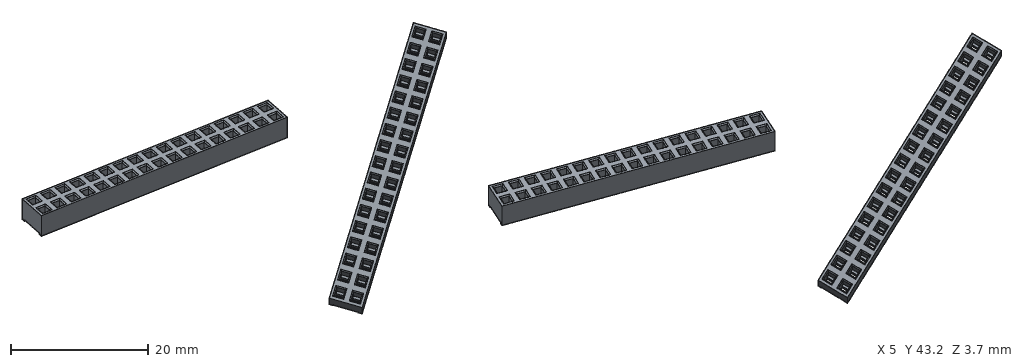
import cadquery as cq

length = 43.2
width = 5.0
height = 3.7

positions_per_row = 17
rows = 2
pitch = length / positions_per_row

mouth_size = 1.7
cavity_size = 1.3
bevel_depth = (mouth_size - cavity_size) / 2

floor_thickness = 1.1
slot_width = 0.5

rail_width = 0.6
rail_height = 0.2


def make_body():
    """Solid block with a shallow full-length channel between the rails."""
    block = cq.Workplane("XY").box(width, length, height, centered=(True, True, False))
    channel = cq.Workplane("XY").box(
        width - 2 * rail_width, length, rail_height, centered=(True, True, False)
    )
    return block.cut(channel)


def make_cavity():
    """Void of one contact position, centred on the Z axis."""
    floor_level = rail_height + floor_thickness
    shaft = (
        cq.Workplane("XY", origin=(0, 0, floor_level))
        .rect(cavity_size, cavity_size)
        .extrude(height - floor_level)
    )
    mouth = (
        cq.Workplane("XY", origin=(0, 0, height - bevel_depth))
        .rect(cavity_size, cavity_size)
        .workplane(offset=bevel_depth)
        .rect(mouth_size, mouth_size)
        .loft(ruled=True)
    )
    slot = cq.Workplane("XY").rect(cavity_size, slot_width).extrude(floor_level)
    return shaft.union(mouth).union(slot)


cavity = make_cavity().val()
cavities = (
    cq.Workplane("XY")
    .rarray(pitch, pitch, rows, positions_per_row)
    .eachpoint(lambda location: cavity.moved(location))
)

result = make_body().cut(cavities)